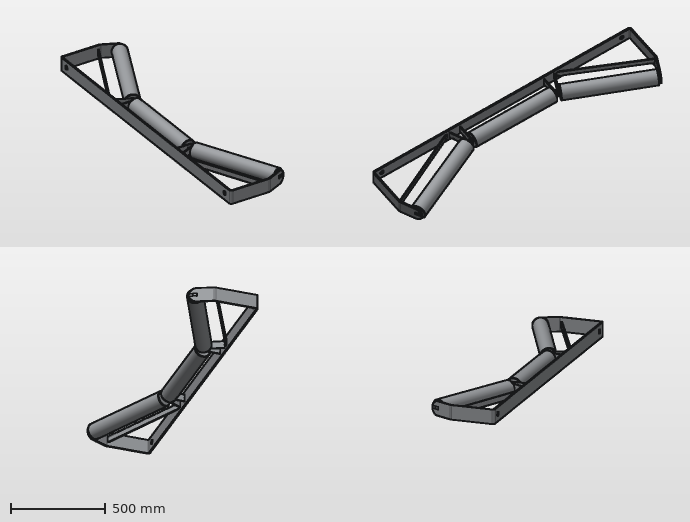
import cadquery as cq
import math

frame_length = 1680.0
strap_width = 80.0
strap_thickness = 8.0
corner_radius = 13.0
ear_bend_radius = 24.0
wall_height = 247.0
ear_length = 138.0
mount_hole_diameter = 24.0
mount_hole_x = 781.0
mount_hole_z = 2.0

roller_diameter = 89.0
roller_length = 530.0
roller_chamfer = 3.0
shaft_diameter = 24.0
shaft_flat_width = 15.0
shaft_end_length = 12.0
centre_roller_y = 102.0
centre_roller_z = -5.9
wing_angle = 25.0
wing_tilt = 0.8
wing_centre = (543.0, 224.3, -2.5)

bracket_width = 40.0
bracket_thickness = 7.0
bracket_leg_x = 270.0
bracket_height = 130.0
bracket_top_width = 18.0
brace_width = 34.0
brace_thickness = 7.0
brace_foot_x = 373.0
brace_angle = 25.8

half_length = frame_length / 2
shaft_length = roller_length + 2 * shaft_end_length
slot_depth = strap_width
slope = math.tan(math.radians(wing_angle))
sin_wing = math.sin(math.radians(wing_angle))
cos_wing = math.cos(math.radians(wing_angle))


def mirrored(shape):
    """Copy on the other side of the middle plane."""
    return shape.mirror("YZ")


def to_wing(shape):
    """Move a shape built around the origin along X to the right-hand wing roller."""
    tilted = shape.rotate((0, 0, 0), (0, 1, 0), -wing_tilt)
    return tilted.rotate((0, 0, 0), (0, 0, 1), wing_angle).translate(wing_centre)


def to_centre(shape):
    """Move a shape built around the origin along X to the centre roller."""
    return shape.translate((0, centre_roller_y, centre_roller_z))


def plate(points, width):
    """Flat-sided prism with the given XY outline, centred on Z = 0."""
    return cq.Workplane("XY", origin=(0, 0, -width / 2)).polyline(points).close().extrude(width)


def rod(diameter, length):
    """Cylinder along X, centred on the origin."""
    return cq.Workplane("YZ", origin=(-length / 2, 0, 0)).circle(diameter / 2).extrude(length)


def flatted_shaft():
    """Shaft along X with two flats facing up and down."""
    flats = cq.Workplane("XY").box(shaft_length, shaft_diameter, shaft_flat_width)
    return rod(shaft_diameter, shaft_length).intersect(flats)


def roller():
    """Roller along X with a flatted shaft end standing out of each face."""
    shell = rod(roller_diameter, roller_length).edges("%CIRCLE").chamfer(roller_chamfer)
    return shell.union(flatted_shaft())


def shaft_slots():
    """Cutter for the open slots that hold both ends of one roller shaft."""
    opening = cq.Workplane("XY").box(shaft_length, slot_depth, shaft_flat_width, centered=(True, False, True))
    return flatted_shaft().union(opening)


def round_bend(shape, point, radius):
    """Round the edge along Z that passes through the given XY point."""
    return shape.edges(cq.selectors.NearestToPointSelector((*point, 0))).fillet(radius)


def tip_rounding(width):
    """Cutter that rounds the tip of an upright strap ending at the origin."""
    reach = 2 * strap_width
    disc = rod(width, reach).translate((0, -width / 2, 0))
    tip_end = cq.Workplane("XY").box(reach, width / 2, width).translate((0, -width / 4, 0))
    return tip_end.cut(disc)


def strap():
    """Bent strap: base, end walls and the ears that lean in square to the wing rollers."""
    ear_tip = (half_length - ear_length * sin_wing, wall_height + ear_length * cos_wing)
    inner_x = half_length - strap_thickness
    inner_bend_y = wall_height - strap_thickness * math.tan(math.radians(wing_angle / 2))
    inner_tip = (ear_tip[0] - strap_thickness * cos_wing, ear_tip[1] - strap_thickness * sin_wing)
    outline = [
        (0, 0),
        (half_length, 0),
        (half_length, wall_height),
        ear_tip,
        inner_tip,
        (inner_x, inner_bend_y),
        (inner_x, strap_thickness),
        (0, strap_thickness),
    ]
    half = plate(outline, strap_width)
    half = round_bend(half, (half_length, 0), corner_radius)
    half = round_bend(half, (inner_x, strap_thickness), corner_radius - strap_thickness)
    half = round_bend(half, (half_length, wall_height), ear_bend_radius)
    half = round_bend(half, (inner_x, inner_bend_y), ear_bend_radius - strap_thickness)
    ear_rounding = tip_rounding(strap_width).rotate((0, 0, 0), (0, 0, 1), wing_angle)
    half = half.cut(ear_rounding.translate((*ear_tip, 0)))
    return half.union(mirrored(half))


def bracket():
    """Bracket between the centre and wing rollers: upright leg, top and leaning leg."""
    foot = strap_thickness
    inner_height = bracket_height - bracket_thickness
    leg_outer_x = bracket_leg_x + bracket_top_width
    lean_foot_x = leg_outer_x + (bracket_height - foot) * slope
    lean_offset = bracket_thickness / cos_wing
    outline = [
        (bracket_leg_x, foot),
        (bracket_leg_x, bracket_height),
        (leg_outer_x, bracket_height),
        (lean_foot_x, foot),
        (lean_foot_x - lean_offset, foot),
        (leg_outer_x + bracket_thickness * slope - lean_offset, inner_height),
        (bracket_leg_x + bracket_thickness, inner_height),
        (bracket_leg_x + bracket_thickness, foot),
    ]
    top_rounding = tip_rounding(bracket_width).translate((bracket_leg_x, bracket_height, 0))
    return plate(outline, bracket_width).cut(top_rounding)


def brace():
    """Sloping bar from the base to the end wall, below the wing roller."""
    end_x = half_length - strap_thickness
    brace_slope = math.tan(math.radians(brace_angle))
    rise = (end_x - brace_foot_x) * brace_slope
    offset = brace_thickness / math.cos(math.radians(brace_angle))
    outline = [
        (brace_foot_x, strap_thickness),
        (end_x, strap_thickness + rise),
        (end_x, strap_thickness + rise + offset),
        (brace_foot_x - offset / brace_slope, strap_thickness),
    ]
    return plate(outline, brace_width)


def frame():
    """Welded frame: strap, brackets and braces with mounting holes and shaft slots."""
    body = strap()
    for piece in (bracket(), brace()):
        body = body.union(piece).union(mirrored(piece))
    holes = (
        cq.Workplane("XZ")
        .pushPoints([(-mount_hole_x, mount_hole_z), (mount_hole_x, mount_hole_z)])
        .circle(mount_hole_diameter / 2)
        .extrude(-strap_thickness)
    )
    wing_slots = to_wing(shaft_slots())
    return body.cut(holes).cut(to_centre(shaft_slots())).cut(wing_slots).cut(mirrored(wing_slots))


support_frame = frame()
centre_roller = to_centre(roller())
right_roller = to_wing(roller())
left_roller = mirrored(right_roller)

result = cq.Compound.makeCompound(
    [support_frame.val(), centre_roller.val(), right_roller.val(), left_roller.val()]
)